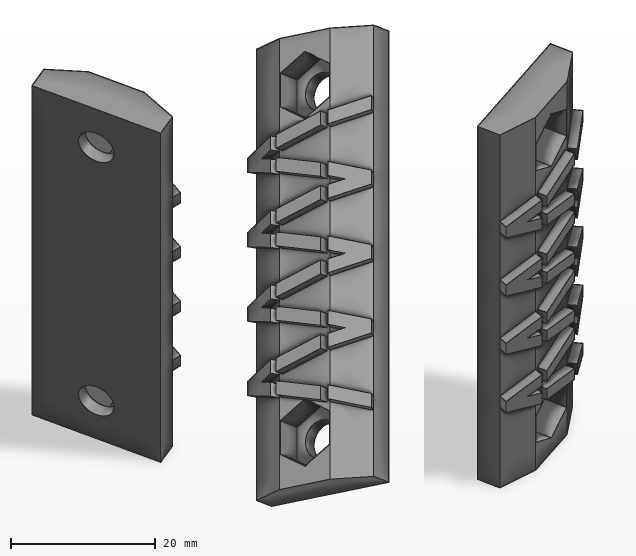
import cadquery as cq
import math

plate_width = 20.0
plate_length = 65.0
plate_thickness = 6.0
edge_thickness = 3.6
crown_flat_width = 8.65

hole_diameter = 5.5
hole_spacing = 50.05

pocket_across_flats = 8.4
pocket_floor_y = 2.0

centre_rib_height = 1.5
slope_rib_height = 1.4
rib_breadth = 2.0
centre_rib_width = 7.6
tip_pitch = 10.7
strand_count = 8
zigzag_centre_z = -0.5

pocket_corner_radius = pocket_across_flats / math.sqrt(3)
half_width = plate_width / 2
half_flat = crown_flat_width / 2
slope_run = half_width - half_flat
slope_drop = plate_thickness - edge_thickness
slope_length = math.hypot(slope_run, slope_drop)

strand_drop = tip_pitch / 2
gradient = strand_drop / (centre_rib_width + 2 * slope_length)
half_centre_drop = gradient * centre_rib_width / 2
zigzag_top_z = zigzag_centre_z + strand_count * strand_drop / 2


def make_plate():
    outline = [
        (-half_width, 0),
        (half_width, 0),
        (half_width, edge_thickness),
        (half_flat, plate_thickness),
        (-half_flat, plate_thickness),
        (-half_width, edge_thickness),
    ]
    plate = cq.Workplane("XY").polyline(outline).close().extrude(plate_length / 2, both=True)
    hole_centres = [(0, -hole_spacing / 2), (0, hole_spacing / 2)]
    holes = (
        cq.Workplane("XZ")
        .pushPoints(hole_centres)
        .circle(hole_diameter / 2)
        .extrude(-plate_thickness)
    )
    hexagon = [
        (pocket_corner_radius * math.sin(corner * math.pi / 3),
         pocket_corner_radius * math.cos(corner * math.pi / 3))
        for corner in range(6)
    ]
    plate = plate.cut(holes)
    for x, z in hole_centres:
        pocket = (
            cq.Workplane("XZ", origin=(x, pocket_floor_y, z))
            .polyline(hexagon)
            .close()
            .extrude(pocket_floor_y - plate_thickness)
        )
        plate = plate.cut(pocket)
    return plate


def rib_piece(start, end, height):
    """Slanted bar standing square on a front face, between two (x, y, z) points of its centre line."""
    run = cq.Vector(end[0] - start[0], end[1] - start[1], 0)
    outward = cq.Vector(-run.y, run.x, 0).normalized()
    half_rise = cq.Vector(0, 0, rib_breadth / 2)
    first = cq.Vector(*start)
    last = cq.Vector(*end)
    corners = [first - half_rise, last - half_rise, last + half_rise, first + half_rise]
    footprint = cq.Face.makeFromWires(cq.Wire.makePolygon(corners, close=True))
    return cq.Solid.extrudeLinear(footprint, outward * height)


def strand_pieces(middle_z, direction):
    """Three pieces of one strand; direction is 1 when Z rises toward +X and -1 when it falls."""
    tip_rise = direction * strand_drop / 2
    fold_rise = direction * half_centre_drop
    half_centre = centre_rib_width / 2
    left_slope = rib_piece(
        (-half_width, edge_thickness, middle_z - tip_rise),
        (-half_flat, plate_thickness, middle_z - fold_rise),
        slope_rib_height,
    )
    centre = rib_piece(
        (-half_centre, plate_thickness, middle_z - fold_rise),
        (half_centre, plate_thickness, middle_z + fold_rise),
        centre_rib_height,
    )
    right_slope = rib_piece(
        (half_flat, plate_thickness, middle_z + fold_rise),
        (half_width, edge_thickness, middle_z + tip_rise),
        slope_rib_height,
    )
    return [left_slope, centre, right_slope]


result = make_plate()
for strand in range(strand_count):
    strand_middle_z = zigzag_top_z - (strand + 0.5) * strand_drop
    strand_direction = -1 if strand % 2 == 0 else 1
    for piece in strand_pieces(strand_middle_z, strand_direction):
        result = result.union(cq.Workplane(piece))